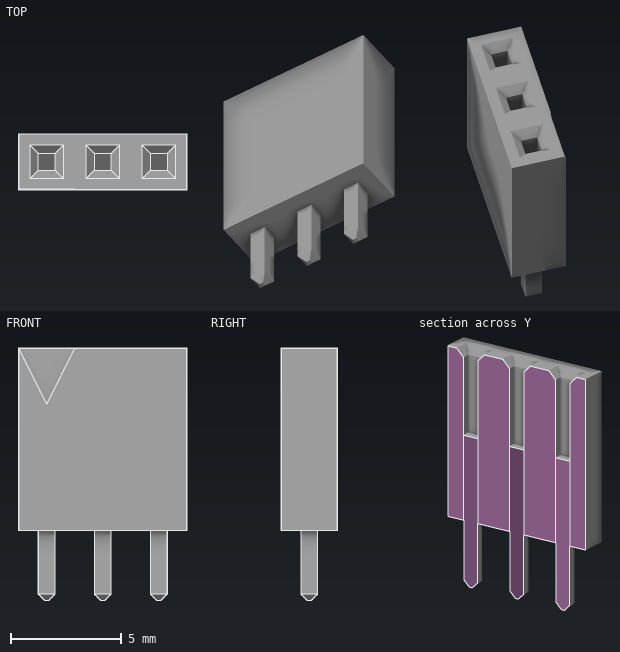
import cadquery as cq

pin_count = 3
pitch = 2.54
total_height = 11.44
pin_length_below = 3.17
pin_side = 0.77
tip_chamfer = 0.3
socket_mouth = 1.52
mark_depth = 0.05

housing_length = pin_count * pitch
housing_width = pitch
housing_height = total_height - pin_length_below
lead_in_depth = (socket_mouth - pin_side) / 2
pin_top = housing_height / 2
pin_positions = [(i - (pin_count - 1) / 2) * pitch for i in range(pin_count)]


def square_taper(x, z_start, side_start, z_end, side_end):
    """Square frustum between two heights, centred at x."""
    return (
        cq.Workplane("XY", origin=(x, 0, z_start))
        .rect(side_start, side_start)
        .workplane(offset=z_end - z_start)
        .rect(side_end, side_end)
        .loft(ruled=True)
    )


def square_bar(x, z_bottom, z_top):
    """Straight bar with the pin's cross-section, centred at x."""
    return (
        cq.Workplane("XY", origin=(x, 0, z_bottom))
        .rect(pin_side, pin_side)
        .extrude(z_top - z_bottom)
    )


def make_pin_one_mark():
    """Triangular cutter: one pitch wide and one pitch tall, point down."""
    left = -housing_length / 2
    return (
        cq.Workplane("XZ", origin=(0, -housing_width / 2, 0))
        .moveTo(left, housing_height)
        .lineTo(left + pitch, housing_height)
        .lineTo(left + pitch / 2, housing_height - pitch)
        .close()
        .extrude(-mark_depth)
    )


def make_housing():
    """Block standing on Z = 0, with a through bore and lead-in for each pin."""
    body = cq.Workplane("XY").rect(housing_length, housing_width).extrude(housing_height)
    lead_in_bottom = housing_height - lead_in_depth
    for x in pin_positions:
        body = body.cut(square_bar(x, 0, housing_height))
        body = body.cut(square_taper(x, lead_in_bottom, pin_side, housing_height, socket_mouth))
    return body.cut(make_pin_one_mark())


def make_pin(x):
    """Square pin with its lower end chamfered on all four sides."""
    return (
        square_bar(x, -pin_length_below, pin_top)
        .faces("<Z")
        .chamfer(tip_chamfer)
    )


housing = make_housing()
pins = [make_pin(x) for x in pin_positions]

result = cq.Compound.makeCompound([housing.val(), *[pin.val() for pin in pins]])